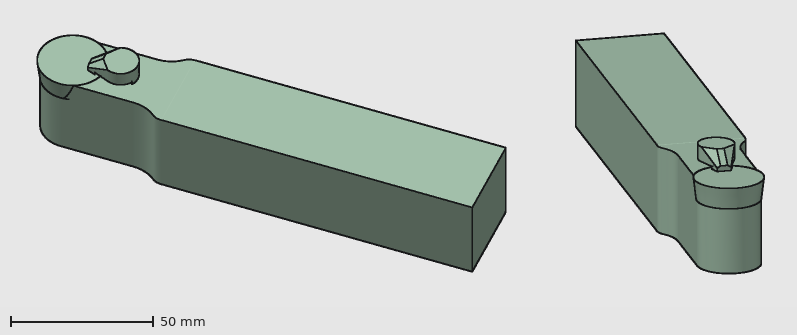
import cadquery as cq
import math

tool_length = 170.0
shank_width = 32.0
shank_height = 32.0
overall_height = 38.5

insert_radius = 12.5
insert_thickness = 7.94
insert_relief_angle = 7.0
insert_x = insert_radius

head_half_width = 11.5
deck_step = 0.1
riser_length = 0.4
deck_z = shank_height - deck_step
flare_start_x = 40.1
neck_radius = 13.3
shoulder_radius = 5.2

clamp_radius = 6.5
clamp_x = 30.7
clamp_tip_x = 19.2
clamp_tip_half_width = 2.5
clamp_underside_z = 33.0
clamp_top_z = overall_height
front_foot_end_x = 22.3
rear_foot_start_x = 35.4

strip_half_width = 1.3
strip_tip_z = 34.0
strip_top_x = 24.6
facet_top_x = 28.0
facet_top_y = 5.8


def insert_shape():
    """Round insert, tapering inward below its flat top."""
    return (
        cq.Workplane("XY", origin=(insert_x, 0, shank_height))
        .circle(insert_radius)
        .extrude(-insert_thickness, taper=insert_relief_angle)
    )


def holder_blank():
    """Round-nosed head that flares through two tangent arcs into the square shank."""
    half_shank = shank_width / 2
    flare_angle = math.acos(1 - (half_shank - head_half_width) / (neck_radius + shoulder_radius))
    arc_join_x = flare_start_x + neck_radius * math.sin(flare_angle)
    arc_join_y = head_half_width + neck_radius * (1 - math.cos(flare_angle))
    shank_start_x = arc_join_x + shoulder_radius * math.sin(flare_angle)
    neck_mid_x = flare_start_x + neck_radius * math.sin(flare_angle / 2)
    neck_mid_y = head_half_width + neck_radius * (1 - math.cos(flare_angle / 2))
    shoulder_mid_x = shank_start_x - shoulder_radius * math.sin(flare_angle / 2)
    shoulder_mid_y = half_shank - shoulder_radius * (1 - math.cos(flare_angle / 2))

    blank = (
        cq.Workplane("XY")
        .moveTo(insert_x, -head_half_width)
        .lineTo(flare_start_x, -head_half_width)
        .threePointArc((neck_mid_x, -neck_mid_y), (arc_join_x, -arc_join_y))
        .threePointArc((shoulder_mid_x, -shoulder_mid_y), (shank_start_x, -half_shank))
        .lineTo(tool_length, -half_shank)
        .lineTo(tool_length, half_shank)
        .lineTo(shank_start_x, half_shank)
        .threePointArc((shoulder_mid_x, shoulder_mid_y), (arc_join_x, arc_join_y))
        .threePointArc((neck_mid_x, neck_mid_y), (flare_start_x, head_half_width))
        .lineTo(insert_x, head_half_width)
        .threePointArc((insert_x - head_half_width, 0), (insert_x, -head_half_width))
        .close()
        .extrude(shank_height)
    )
    above_deck = (
        cq.Workplane("XZ")
        .moveTo(0, deck_z)
        .lineTo(shank_start_x, deck_z)
        .lineTo(shank_start_x + riser_length, shank_height)
        .lineTo(0, shank_height)
        .close()
        .extrude(half_shank, both=True)
    )
    return blank.cut(above_deck)


def clamp_prism(bottom_z, top_z):
    """Clamp outline: a blunt tip whose sides run tangent into a round back."""
    tip_distance = math.hypot(clamp_x - clamp_tip_x, clamp_tip_half_width)
    tip_angle = math.atan2(clamp_tip_half_width, clamp_tip_x - clamp_x)
    tangent_angle = tip_angle - math.acos(clamp_radius / tip_distance)
    tangent_x = clamp_x + clamp_radius * math.cos(tangent_angle)
    tangent_y = clamp_radius * math.sin(tangent_angle)
    return (
        cq.Workplane("XY", origin=(0, 0, bottom_z))
        .moveTo(clamp_tip_x, -clamp_tip_half_width)
        .lineTo(tangent_x, -tangent_y)
        .threePointArc((clamp_x + clamp_radius, 0), (tangent_x, tangent_y))
        .lineTo(clamp_tip_x, clamp_tip_half_width)
        .close()
        .extrude(top_z - bottom_z)
    )


def above_plane(origin, direction_a, direction_b):
    """Large block standing on the upper side of the plane through two directions."""
    block_size = 60.0
    normal = cq.Vector(*direction_a).cross(cq.Vector(*direction_b))
    if normal.z < 0:
        normal = normal * -1
    plane = cq.Plane(origin=origin, xDir=direction_a, normal=normal.toTuple())
    return cq.Workplane(plane).rect(block_size, block_size).extrude(block_size)


def clamp_shape():
    """Clamp with a bevelled nose, standing on a front foot and a rear foot."""
    body = clamp_prism(clamp_underside_z, clamp_top_z)

    front_foot_span = front_foot_end_x - clamp_tip_x
    front_zone = (
        cq.Workplane("XY")
        .box(front_foot_span, shank_width, overall_height, centered=(False, True, False))
        .translate((clamp_tip_x, 0, 0))
    )
    rear_zone = (
        cq.Workplane("XY")
        .center(rear_foot_start_x + clamp_radius, 0)
        .circle(clamp_radius)
        .extrude(overall_height)
    )
    front_foot = clamp_prism(shank_height, clamp_underside_z).intersect(front_zone)
    rear_foot = clamp_prism(deck_z, clamp_underside_z).intersect(rear_zone)
    body = body.union(front_foot).union(rear_foot)

    strip_slope = (strip_top_x - clamp_tip_x, 0, clamp_top_z - strip_tip_z)
    strip_origin = (strip_top_x, 0, clamp_top_z)
    body = body.cut(above_plane(strip_origin, strip_slope, (0, 1, 0)))
    for side in (-1, 1):
        facet_origin = (strip_top_x, side * strip_half_width, clamp_top_z)
        facet_edge = (facet_top_x - strip_top_x, side * (facet_top_y - strip_half_width), 0)
        body = body.cut(above_plane(facet_origin, strip_slope, facet_edge))
    return body


insert = insert_shape()

holder = holder_blank().cut(insert).union(clamp_shape())

result = cq.Compound.makeCompound([holder.solids().val(), insert.val()])